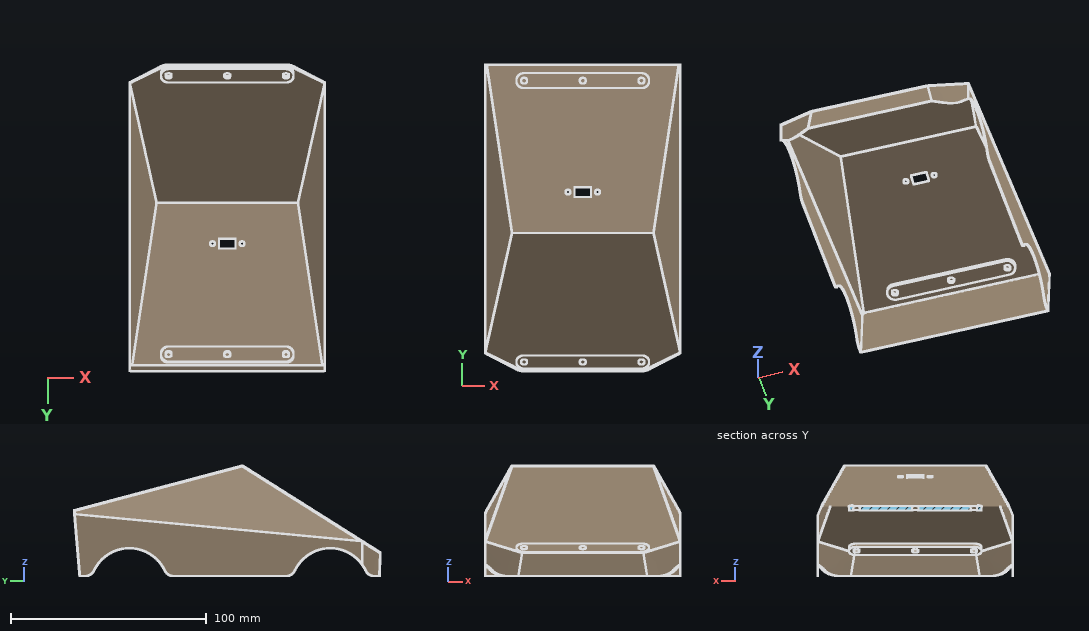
import cadquery as cq
import math

width = 100.08
length = 156.93
height = 56.61
wall = 0.4
half_width = width / 2

hood_front_height = 12.05
front_top_half_width = 31.0
front_base_half_width = 33.0
front_base_setback = 0.5
corner_length = 9.3

ridge_y = 70.7
ridge_half_width = 36.3
rear_height = 33.7
rear_shoulder_height = 31.8
rear_base_setback = 2.85

arch_positions = (25.8, 128.5)
arch_radius = 20.0
arch_height = 14.3
arch_corner_radius = 5.0

pad_hole_diameter = 3.15
pad_hole_spacing = 30.0
pad_hole_count = 3
pad_radius = 4.0
pad_thickness = 2.0
front_pad_distance = 5.4
rear_pad_distance = 8.5

switch_y = 91.7
switch_width = 8.2
switch_length = 5.2
switch_hole_diameter = 2.4
switch_hole_spacing = 15.1

hood_angle = math.atan2(height - hood_front_height, ridge_y)
rear_angle = math.atan2(height - rear_height, length - ridge_y)


def same_side(point):
    return point


def mirrored(point):
    x, y, z = point
    return (-x, y, z)


def flat_face(points):
    return cq.Face.makeFromWires(cq.Wire.makePolygon(points, close=True))


def corner_face(top_edge, base_edge):
    """Slightly twisted face between the sloping top edge and the level base edge of a front corner."""
    edges = [cq.Edge.makeLine(cq.Vector(*start), cq.Vector(*end)) for start, end in (top_edge, base_edge)]
    return cq.Face.makeRuledSurface(*edges)


def outer_body():
    """Solid body bounded by the outer faces."""
    shoulder_z = hood_front_height + corner_length * math.tan(hood_angle)
    rear_shoulder_y = length - rear_base_setback * (1 - rear_shoulder_height / rear_height)

    shoulder_slope = (rear_shoulder_height - shoulder_z) / (rear_shoulder_y - corner_length)
    shoulder_z_at_ridge = shoulder_z + shoulder_slope * (ridge_y - corner_length)
    shoulder_z_at_tail = shoulder_z + shoulder_slope * (length - corner_length)
    side_lean = (half_width - ridge_half_width) / (height - shoulder_z_at_ridge)
    tail_half_width = half_width - side_lean * (rear_height - shoulder_z_at_tail)

    ridge = (ridge_half_width, ridge_y, height)
    tail = (tail_half_width, length, rear_height)
    rear_shoulder = (half_width, rear_shoulder_y, rear_shoulder_height)
    rear_base = (half_width, length - rear_base_setback, 0)
    shoulder = (half_width, corner_length, shoulder_z)
    side_base = (half_width, corner_length, 0)
    front_top = (front_top_half_width, 0, hood_front_height)
    front_base = (front_base_half_width, front_base_setback, 0)

    def across(*points):
        """Flat face running from the given +X points to their mirror images."""
        return flat_face(list(points) + [mirrored(p) for p in reversed(points)])

    faces = [
        across(ridge, shoulder, front_top),
        across(ridge, tail),
        across(tail, rear_shoulder, rear_base),
        across(front_top, front_base),
        across(front_base, side_base, rear_base),
    ]
    upper_side = [ridge, tail, rear_shoulder, shoulder]
    lower_side = [rear_shoulder, rear_base, side_base, shoulder]
    top_edge = [front_top, shoulder]
    base_edge = [front_base, side_base]
    for side in (same_side, mirrored):
        faces.append(flat_face([side(p) for p in upper_side]))
        faces.append(flat_face([side(p) for p in lower_side]))
        faces.append(corner_face([side(p) for p in top_edge], [side(p) for p in base_edge]))
    return cq.Workplane(cq.Solid.makeSolid(cq.Shell.makeShell(faces)))


def arch_cutter(center_y):
    """Bar across the full width with the outline of one wheel arch, flared at the bottom rim."""
    center_z = arch_height - arch_radius
    drop = arch_corner_radius - center_z
    reach = arch_radius + arch_corner_radius
    half_flare = math.sqrt(reach**2 - drop**2)
    tangent_y = half_flare * arch_radius / reach
    tangent_z = center_z + drop * arch_radius / reach
    middle_angle = math.atan2(drop, half_flare) / 2 + math.pi / 4
    corner_y = half_flare - arch_corner_radius * math.cos(middle_angle)
    corner_z = arch_corner_radius * (1 - math.sin(middle_angle))
    outline = (
        cq.Workplane("YZ")
        .moveTo(center_y - half_flare, 0)
        .threePointArc((center_y - corner_y, corner_z), (center_y - tangent_y, tangent_z))
        .threePointArc((center_y, arch_height), (center_y + tangent_y, tangent_z))
        .threePointArc((center_y + corner_y, corner_z), (center_y + half_flare, 0))
        .close()
    )
    return outline.extrude(half_width + wall, both=True)


def roof_plane(y, z, tilt):
    """Plane on a roof surface, with its local Z pointing outwards."""
    return cq.Plane(origin=(0, y, z), xDir=(1, 0, 0), normal=(0, -math.sin(tilt), math.cos(tilt)))


def mounting_pad(surface):
    """Rounded bar on the inside of a roof, with a row of holes that end at the skin."""
    bar = (
        cq.Workplane(surface)
        .workplane(offset=-wall)
        .slot2D((pad_hole_count - 1) * pad_hole_spacing + 2 * pad_radius, 2 * pad_radius)
        .extrude(-pad_thickness)
    )
    holes = (
        cq.Workplane(surface)
        .workplane(offset=-wall)
        .rarray(pad_hole_spacing, 1, pad_hole_count, 1)
        .circle(pad_hole_diameter / 2)
        .extrude(-pad_thickness)
    )
    return bar.cut(holes)


def switch_cutter(surface):
    """Rectangular window with a screw hole on either side."""
    window = cq.Workplane(surface).rect(switch_width, switch_length).extrude(2 * wall, both=True)
    holes = (
        cq.Workplane(surface)
        .rarray(switch_hole_spacing, 1, 2, 1)
        .circle(switch_hole_diameter / 2)
        .extrude(2 * wall, both=True)
    )
    return window.union(holes)


front_pad_surface = roof_plane(
    front_pad_distance * math.cos(hood_angle),
    hood_front_height + front_pad_distance * math.sin(hood_angle),
    hood_angle,
)
rear_pad_surface = roof_plane(
    length - rear_pad_distance * math.cos(rear_angle),
    rear_height + rear_pad_distance * math.sin(rear_angle),
    -rear_angle,
)
switch_surface = roof_plane(switch_y, height - (switch_y - ridge_y) * math.tan(rear_angle), -rear_angle)

result = outer_body().faces("<Z").shell(-wall)
for arch_y in arch_positions:
    result = result.cut(arch_cutter(arch_y))
result = result.union(mounting_pad(front_pad_surface)).union(mounting_pad(rear_pad_surface))
result = result.cut(switch_cutter(switch_surface))